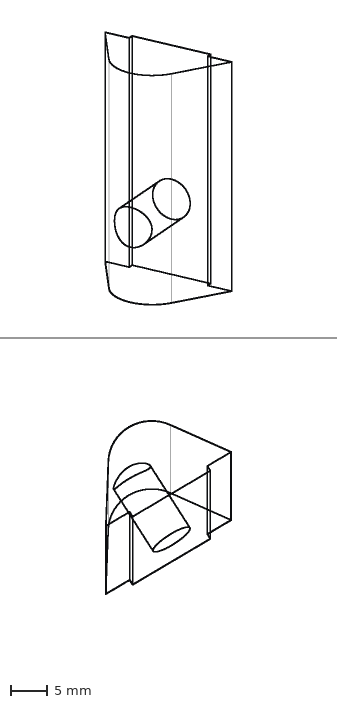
import cadquery as cq
import math

length = 34.5
width = 20.3
depth = 11.2
tongue_width = 12.55
tongue_height = 0.8
nose_radius = 6.0
hole_diameter = 6.0
hole_height = 11.3

half_width = width / 2
half_tongue = tongue_width / 2
shoulder_y = depth - tongue_height

corner_rise = shoulder_y - nose_radius
corner_distance = math.hypot(half_width, corner_rise)
corner_angle = math.atan2(corner_rise, half_width)
tangent_angle = corner_angle - math.acos(nose_radius / corner_distance)
tangent_x = nose_radius * math.cos(tangent_angle)
tangent_y = nose_radius * (1 + math.sin(tangent_angle))

body = (
    cq.Workplane("XY")
    .moveTo(-tangent_x, tangent_y)
    .threePointArc((0, 0), (tangent_x, tangent_y))
    .lineTo(half_width, shoulder_y)
    .lineTo(half_tongue, shoulder_y)
    .lineTo(half_tongue, depth)
    .lineTo(-half_tongue, depth)
    .lineTo(-half_tongue, shoulder_y)
    .lineTo(-half_width, shoulder_y)
    .close()
    .extrude(length)
)

hole = (
    cq.Workplane("XZ")
    .center(0, hole_height)
    .circle(hole_diameter / 2)
    .extrude(-depth)
)

result = body.cut(hole)